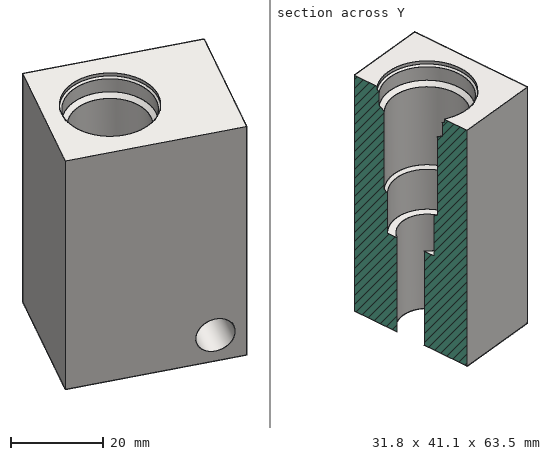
import cadquery as cq

width = 31.75
depth = 41.15
height = 63.5

cavity_y = 15.0
rim_diameter = 22.0
rim_depth = 0.8
seat_diameter = 20.95
seat_top_depth = 1.2
seat_depth = 4.8
bore_diameter = 18.6
bore_top_depth = 5.7
bore_depth = 26.7
lower_bore_diameter = 17.15
lower_bore_top_depth = 27.4
lower_bore_depth = 38.1
through_diameter = 13.5

cross_hole_diameter = 8.9
cross_hole_back_distance = 7.1
cross_hole_height = 7.25


def make_block():
    return cq.Workplane("XY").box(width, depth, height, centered=(True, False, False))


def make_cavity():
    """Revolve the half profile of the cavity about its vertical axis."""
    steps = [
        (rim_diameter, 0),
        (rim_diameter, rim_depth),
        (seat_diameter, seat_top_depth),
        (seat_diameter, seat_depth),
        (bore_diameter, bore_top_depth),
        (bore_diameter, bore_depth),
        (lower_bore_diameter, lower_bore_top_depth),
        (lower_bore_diameter, lower_bore_depth),
        (through_diameter, lower_bore_depth),
        (through_diameter, height),
    ]
    outline = [(0, height)]
    outline += [(diameter / 2, height - level) for diameter, level in steps]
    outline += [(0, 0)]
    profile = cq.Workplane("XZ").polyline(outline).close()
    return profile.revolve(360, (0, 0), (0, 1)).translate((0, cavity_y, 0))


def make_cross_hole():
    hole_plane = cq.Workplane("YZ", origin=(-width / 2, 0, 0))
    hole_center = hole_plane.center(depth - cross_hole_back_distance, cross_hole_height)
    return hole_center.circle(cross_hole_diameter / 2).extrude(width)


result = make_block().cut(make_cavity()).cut(make_cross_hole())